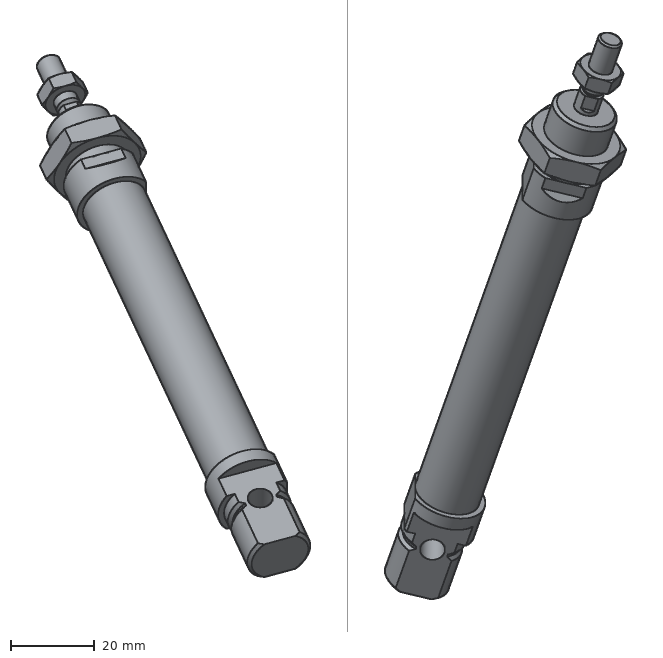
import cadquery as cq
import math

LENGTH = 165.0
BODY_DIAMETER = 16.0
COLLAR_DIAMETER = 19.0
COLLAR_FLAT_Y = BODY_DIAMETER / 2
CAP_CHAMFER = 0.8

ROD_DIAMETER = 6.0
ROD_TIP_DIAMETER = 5.0
RUNOUT_DIAMETER = 4.1
THREAD_LENGTH = 16.0
TIP_CHAMFER_LENGTH = 0.5
RUNOUT_LENGTH = 1.2
ROD_FLATS_WIDTH = 5.0
ROD_FLATS_END = 19.6

ROD_NUT_START = 8.5
ROD_NUT_WIDTH = 10.0
ROD_NUT_THICKNESS = 4.0
MOUNT_NUT_START = 29.4
MOUNT_NUT_WIDTH = 22.0
MOUNT_NUT_THICKNESS = 6.0
NUT_CHAMFER_ANGLE = 20.0

FRONT_CAP_START = 21.1
FRONT_COLLAR_START = 38.0
BARREL_START = 47.5
SPANNER_FLATS_WIDTH = BODY_DIAMETER
SPANNER_FLATS_END = 41.1

BARREL_END = 138.5
REAR_COLLAR_END = 147.7
EYE_START = 141.9
EYE_THICKNESS = 12.0
EYE_HOLE_X = 151.0
EYE_HOLE_DIAMETER = 6.0
GROOVE_X = 151.6
GROOVE_WIDTH = 2.5
GROOVE_FLOOR_WIDTH = 0.7
GROOVE_DIAMETER = 14.4


def cylinder(start, end, diameter):
    """A round bar on the X axis."""
    return cq.Workplane("YZ", origin=(start, 0, 0)).circle(diameter / 2).extrude(end - start)


def revolve_profile(points):
    """Turn an outline of (x, radius) points about the X axis."""
    return cq.Workplane("XY").polyline(points).close().revolve(360, (0, 0, 0), (1, 0, 0))


def cut_ramped_flats(body, start, end, width):
    """Cut flats on the +Z and -Z sides; each ends in a 45 degree ramp rising outward."""
    height = COLLAR_DIAMETER
    outline = [(start, 0), (end, 0), (end + height, height), (start, height)]
    flat = (
        cq.Workplane("XZ")
        .polyline(outline)
        .close()
        .extrude(COLLAR_DIAMETER / 2, both=True)
        .translate((0, 0, width / 2))
    )
    return body.cut(flat).cut(flat.mirror("XY"))


def collar(start, end):
    """A round collar with one flat on its +Y side."""
    ring = cylinder(start, end, COLLAR_DIAMETER)
    side = (
        cq.Workplane("XY", origin=(start, COLLAR_FLAT_Y, 0))
        .rect(end - start, COLLAR_DIAMETER, centered=False)
        .extrude(COLLAR_DIAMETER / 2, both=True)
    )
    return ring.cut(side)


def make_rod():
    radius = ROD_DIAMETER / 2
    tip_radius = ROD_TIP_DIAMETER / 2
    rod = revolve_profile([
        (0, 0),
        (0, tip_radius),
        (TIP_CHAMFER_LENGTH, radius),
        (THREAD_LENGTH - RUNOUT_LENGTH, radius),
        (THREAD_LENGTH, RUNOUT_DIAMETER / 2),
        (THREAD_LENGTH, radius),
        (BARREL_START, radius),
        (BARREL_START, 0),
    ])
    return cut_ramped_flats(rod, THREAD_LENGTH, ROD_FLATS_END, ROD_FLATS_WIDTH)


def make_nut(start, width, thickness, bore):
    """A hexagon nut with flats on +Z and -Z and its corners chamfered on both faces."""
    corner_radius = width / math.sqrt(3)
    face_radius = width / 2
    chamfer_length = (corner_radius - face_radius) * math.tan(math.radians(NUT_CHAMFER_ANGLE))
    end = start + thickness
    hexagon = cq.Workplane("YZ", origin=(start, 0, 0)).polygon(6, 2 * corner_radius).extrude(thickness)
    chamfered_round = revolve_profile([
        (start, 0),
        (start, face_radius),
        (start + chamfer_length, corner_radius),
        (end - chamfer_length, corner_radius),
        (end, face_radius),
        (end, 0),
    ])
    return hexagon.intersect(chamfered_round).cut(cylinder(start, end, bore))


def make_front_cap():
    radius = BODY_DIAMETER / 2
    neck = revolve_profile([
        (FRONT_CAP_START, 0),
        (FRONT_CAP_START, radius - CAP_CHAMFER),
        (FRONT_CAP_START + CAP_CHAMFER, radius),
        (BARREL_START, radius),
        (BARREL_START, 0),
    ])
    front_collar = collar(FRONT_COLLAR_START, BARREL_START)
    front_collar = cut_ramped_flats(
        front_collar, FRONT_COLLAR_START, SPANNER_FLATS_END, SPANNER_FLATS_WIDTH
    )
    return neck.union(front_collar).cut(cylinder(FRONT_CAP_START, BARREL_START, ROD_DIAMETER))


def make_barrel():
    return cylinder(BARREL_START, BARREL_END, BODY_DIAMETER)


def make_rear_cap():
    radius = BODY_DIAMETER / 2
    groove_radius = GROOVE_DIAMETER / 2
    eye = revolve_profile([
        (BARREL_END, 0),
        (BARREL_END, radius),
        (GROOVE_X - GROOVE_WIDTH / 2, radius),
        (GROOVE_X - GROOVE_FLOOR_WIDTH / 2, groove_radius),
        (GROOVE_X + GROOVE_FLOOR_WIDTH / 2, groove_radius),
        (GROOVE_X + GROOVE_WIDTH / 2, radius),
        (LENGTH - CAP_CHAMFER, radius),
        (LENGTH, radius - CAP_CHAMFER),
        (LENGTH, 0),
    ])
    cap = eye.union(collar(BARREL_END, REAR_COLLAR_END))
    for side in (1, -1):
        flat = (
            cq.Workplane("XY", origin=(EYE_START, -COLLAR_DIAMETER / 2, side * EYE_THICKNESS / 2))
            .rect(LENGTH - EYE_START, COLLAR_DIAMETER, centered=False)
            .extrude(side * COLLAR_DIAMETER)
        )
        cap = cap.cut(flat)
    hole = (
        cq.Workplane("XY", origin=(EYE_HOLE_X, 0, 0))
        .circle(EYE_HOLE_DIAMETER / 2)
        .extrude(EYE_THICKNESS, both=True)
    )
    return cap.cut(hole)


rod = make_rod()
rod_nut = make_nut(ROD_NUT_START, ROD_NUT_WIDTH, ROD_NUT_THICKNESS, ROD_DIAMETER)
mount_nut = make_nut(MOUNT_NUT_START, MOUNT_NUT_WIDTH, MOUNT_NUT_THICKNESS, BODY_DIAMETER)
front_cap = make_front_cap()
barrel = make_barrel()
rear_cap = make_rear_cap()

result = cq.Compound.makeCompound([
    rod.val(),
    rod_nut.val(),
    mount_nut.val(),
    front_cap.val(),
    barrel.val(),
    rear_cap.val(),
])